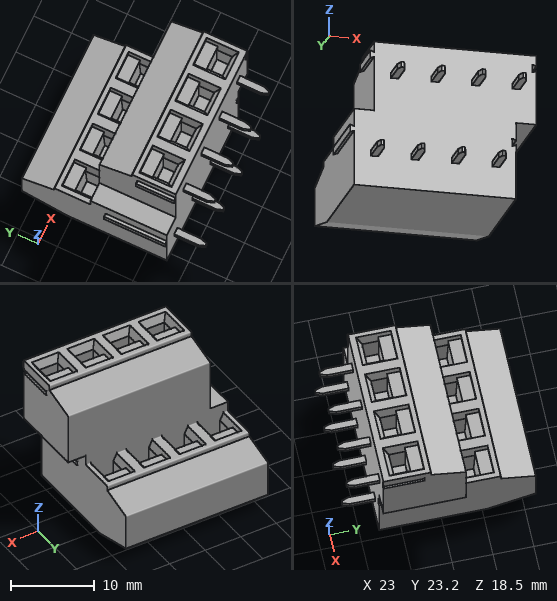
import cadquery as cq


pole_count = 4
row_length = 20.0
pitch = row_length / pole_count
row_shift = pitch / 2
body_depth = 19.2
body_height = 18.5
lower_tier_top = 8.3
upper_tier_depth = 10.12
split_height = 9.7
back_base_height = 1.62
underside_flat = 13.25
tier_step_inset = 4.27
tier_step_height = 0.65
tier_slope_drop = 1.8
edge_radius = 0.23
inner_corner_radius = 0.15
back_edge_radius = 0.19

overall_depth = 23.2
pin_length = overall_depth - body_depth
pin_width = 0.9
pin_thickness = 0.65
pin_tip_length = 0.84
pin_tip_width = 0.32
lower_pin_height = 4.18
pin_row_spacing = 10.15
pin_embed = 0.23

key_depth = 0.49
key_root = 0.55
key_tip = 0.97
lower_key_height = 7.17
lower_key_length = 8.1
upper_key_height = 16.85
upper_key_length = 5.08

pocket_floor_width = 2.67
pocket_depth = 4.65
taper_depth = 1.0
platform_depth = 0.49
pocket_back_inset = 0.72
platform_length = 1.62
upper_pocket_width = 3.78
upper_pocket_front = 0.85
upper_taper_front = 1.48
lower_pocket_width = 3.67
lower_platform_lean = 0.19


def prism(points, start_x, length):
    """Extrude a (Y, Z) outline along +X."""
    return cq.Workplane("YZ").workplane(offset=start_x).polyline(points).close().extrude(length)


def tier_back(back_y, deck_z):
    """Points from the back face over the slope and step to the deck."""
    step_y = back_y - tier_step_inset
    return [
        (back_y, deck_z - tier_slope_drop),
        (step_y, deck_z - tier_step_height),
        (step_y, deck_z),
    ]


def round_edge(body, corner, radius):
    """Round the edge parallel to X that passes through the (Y, Z) corner."""
    y, z = corner
    middle_x = body.val().BoundingBox().center.x
    return body.edges(cq.selectors.NearestToPointSelector((middle_x, y, z))).fillet(radius)


def round_tier(body, back_y, deck_z):
    slope_foot, _, deck_edge = tier_back(back_y, deck_z)
    body = round_edge(body, slope_foot, back_edge_radius)
    return round_edge(body, deck_edge, edge_radius)


def make_lower_tier():
    inner_corner = (upper_tier_depth, lower_tier_top)
    tier = prism(
        [(0, 0), (underside_flat, 0), (body_depth, back_base_height)]
        + tier_back(body_depth, lower_tier_top)
        + [inner_corner, (upper_tier_depth, split_height), (0, split_height)],
        0,
        row_length,
    )
    tier = round_tier(tier, body_depth, lower_tier_top)
    return round_edge(tier, inner_corner, inner_corner_radius)


def make_upper_tier():
    tier = prism(
        [(0, split_height), (upper_tier_depth, split_height)]
        + tier_back(upper_tier_depth, body_height)
        + [(0, body_height)],
        row_shift,
        row_length,
    )
    return round_tier(tier, upper_tier_depth, body_height)


def make_key(side_x, center_z, length):
    """Dovetail pointing to -X, its tip at side_x - key_depth."""
    outline = [
        (side_x, center_z - key_root / 2),
        (side_x, center_z + key_root / 2),
        (side_x - key_depth, center_z + key_tip / 2),
        (side_x - key_depth, center_z - key_tip / 2),
    ]
    return cq.Workplane("XZ").polyline(outline).close().extrude(-length)


def make_pocket(center_x, deck_z, top_width, front_y, taper_front_y, back_y, platform_lean):
    """Cutter for one pocket: tapered mouth over a straight shaft, less the clamp platform."""

    def section(width, section_front_y, z):
        return (
            cq.Workplane("XY", origin=(center_x, 0, z))
            .moveTo(-width / 2, section_front_y)
            .lineTo(width / 2, section_front_y)
            .lineTo(width / 2, back_y)
            .lineTo(-width / 2, back_y)
            .close()
        )

    taper_z = deck_z - taper_depth
    mouth_wire = section(top_width, front_y, deck_z).val()
    taper_wire = section(pocket_floor_width, taper_front_y, taper_z).val()
    mouth = cq.Workplane(cq.Solid.makeLoft([taper_wire, mouth_wire], True))
    shaft = section(pocket_floor_width, taper_front_y, taper_z).extrude(taper_depth - pocket_depth)

    platform_front = back_y - platform_length
    floor_z = deck_z - pocket_depth
    platform = prism(
        [
            (back_y, floor_z),
            (platform_front - platform_lean, floor_z),
            (platform_front, deck_z - platform_depth),
            (back_y, deck_z - platform_depth),
        ],
        center_x - top_width / 2,
        top_width,
    )
    clearance = section(top_width, front_y, deck_z).extrude(inner_corner_radius)
    return mouth.union(shaft).cut(platform).union(clearance)


def make_pin(center_x, center_z):
    half_width = pin_width / 2
    half_tip = pin_tip_width / 2
    shoulder_y = pin_tip_length - pin_length
    outline = [
        (center_x - half_width, pin_embed),
        (center_x - half_width, shoulder_y),
        (center_x - half_tip, -pin_length),
        (center_x + half_tip, -pin_length),
        (center_x + half_width, shoulder_y),
        (center_x + half_width, pin_embed),
    ]
    plane = cq.Workplane("XY", origin=(0, 0, center_z - pin_thickness / 2))
    return plane.polyline(outline).close().extrude(pin_thickness)


result = make_lower_tier().union(make_upper_tier())

for start_x, key_z, key_length in (
    (0, lower_key_height, lower_key_length),
    (row_shift, upper_key_height, upper_key_length),
):
    result = result.union(make_key(start_x, key_z, key_length))
    result = result.cut(make_key(start_x + row_length, key_z, key_length))

lower_pocket_back = body_depth - tier_step_inset - pocket_back_inset
upper_pocket_back = upper_tier_depth - tier_step_inset - pocket_back_inset
for pole in range(pole_count):
    lower_x = (pole + 0.5) * pitch
    upper_x = lower_x + row_shift
    lower_pocket = make_pocket(
        lower_x,
        lower_tier_top,
        lower_pocket_width,
        upper_tier_depth,
        upper_tier_depth,
        lower_pocket_back,
        lower_platform_lean,
    )
    upper_pocket = make_pocket(
        upper_x,
        body_height,
        upper_pocket_width,
        upper_pocket_front,
        upper_taper_front,
        upper_pocket_back,
        0,
    )
    result = result.cut(lower_pocket).cut(upper_pocket)
    result = result.union(make_pin(lower_x, lower_pin_height))
    result = result.union(make_pin(upper_x, lower_pin_height + pin_row_spacing))